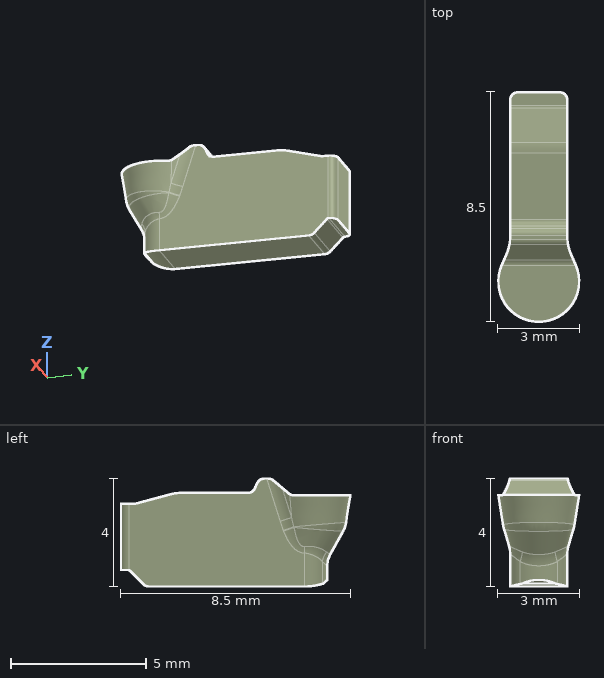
import cadquery as cq
import math


edge_radius = 1.5
total_length = 8.5
total_height = 4.0
edge_height = 3.38
shank_width = 2.125
tip_y = -edge_radius
rear_y = tip_y + total_length

top_allowance = 0.3
blank_top = total_height + top_allowance
front_overrun = 0.1
profile_width = 4 * edge_radius
selection_margin = 0.01

rear_corner_radius = 0.3
nose_y = -0.636
nose_start_y = 0.2
nose_corner_angle = math.radians(60)
nose_corner_radius = 0.75

rear_height = 3.07
shank_height = 3.475
ramp_angle = math.radians(15)
ramp_top_y = 4.95
ramp_top_radius = 1.5
ramp_foot_radius = 0.4
breaker_rear_angle = math.radians(65)
breaker_crest_rear_y = 1.88
breaker_front_angle = math.radians(40)
breaker_foot_y = 0.705
breaker_radius = 0.3
breaker_rear_foot_radius = 0.25

heel_height = 0.608
heel_y = 6.69
heel_angle = math.radians(45)
heel_top_radius = 0.1
heel_foot_radius = 0.3
toe_rise_radius = 2.2
toe_chamfer = 0.14

flank_angle = math.radians(30)
upper_taper = math.radians(9)
lower_taper = 0.3
lower_shift = 0.26
flank_end_y = 1.6
section_end_y = 2.0
waist_z = 2.2
head_bottom_z = 0.8
waist_blend_radius = 1.0
junction_blend_radius = 0.85


def shank_plan():
    half = shank_width / 2
    corner_x = half - nose_corner_radius
    end_x = corner_x + nose_corner_radius * math.cos(nose_corner_angle)
    end_y = nose_start_y - nose_corner_radius * math.sin(nose_corner_angle)
    mid_x = corner_x + nose_corner_radius * math.cos(nose_corner_angle / 2)
    mid_y = nose_start_y - nose_corner_radius * math.sin(nose_corner_angle / 2)
    return (
        cq.Workplane("XY")
        .moveTo(half, rear_y)
        .lineTo(half, nose_start_y)
        .threePointArc((mid_x, mid_y), (end_x, end_y))
        .threePointArc((0, nose_y), (-end_x, end_y))
        .threePointArc((-mid_x, mid_y), (-half, nose_start_y))
        .lineTo(-half, rear_y)
        .close()
    )


def make_shank():
    shank = shank_plan().extrude(blank_top)
    return shank.edges("|Z and >Y").fillet(rear_corner_radius)


def head_section(z, radius, center_y):
    """Circular front with two straight flanks tangent to it, converging to the rear."""
    tangent_x = radius * math.cos(flank_angle)
    tangent_y = center_y + radius * math.sin(flank_angle)
    end_x = tangent_x - (section_end_y - tangent_y) * math.tan(flank_angle)
    return (
        cq.Workplane("XY", origin=(0, 0, z))
        .moveTo(tangent_x, tangent_y)
        .threePointArc((0, center_y - radius), (-tangent_x, tangent_y))
        .lineTo(-end_x, section_end_y)
        .lineTo(end_x, section_end_y)
        .close()
    )


def make_head():
    """A tapered upper part on an oblique lower part, blended at the waist between them."""
    top_radius = edge_radius + math.tan(upper_taper) * (blank_top - edge_height)
    waist_radius = edge_radius - math.tan(upper_taper) * (edge_height - waist_z)
    depth = waist_z - head_bottom_z
    bottom_radius = waist_radius - lower_taper * depth
    upper = head_section(blank_top, top_radius, 0).extrude(
        waist_z - blank_top, taper=math.degrees(upper_taper)
    )
    waist = head_section(waist_z, waist_radius, 0).val()
    bottom = head_section(head_bottom_z, bottom_radius, lower_shift * depth).val()
    lower = cq.Solid.makeLoft([bottom, waist], True)
    front_space = (
        cq.Workplane("XY", origin=(0, flank_end_y - total_length, 0))
        .box(profile_width, total_length, blank_top, centered=(True, False, False))
    )
    head = upper.union(cq.Workplane(lower), clean=False).intersect(front_space)
    waist_edges = cq.selectors.BoxSelector(
        (-edge_radius, tip_y, waist_z - selection_margin),
        (edge_radius, flank_end_y - selection_margin, waist_z + selection_margin),
    )
    return head.edges(waist_edges).fillet(waist_blend_radius)


def make_blank():
    """Head and shank joined and blended, before the side profile is cut."""
    blank = make_head().union(make_shank(), clean=False)
    half = shank_width / 2 + selection_margin
    inside_shank_width = cq.selectors.BoxSelector(
        (-half, tip_y, 0), (half, rear_y, blank_top + selection_margin), boundingbox=True
    )
    return blank.edges("%BSPLINE").edges(inside_shank_width).fillet(junction_blend_radius)


def upper_corners():
    """Corners of the upper side as (y, z, rounding radius), from rear to front."""
    ramp_foot_y = ramp_top_y + (shank_height - rear_height) / math.tan(ramp_angle)
    breaker_rear_run = (total_height - shank_height) / math.tan(breaker_rear_angle)
    breaker_front_run = (total_height - edge_height) / math.tan(breaker_front_angle)
    return [
        (ramp_foot_y, rear_height, ramp_foot_radius),
        (ramp_top_y, shank_height, ramp_top_radius),
        (breaker_crest_rear_y + breaker_rear_run, shank_height, breaker_rear_foot_radius),
        (breaker_crest_rear_y, total_height, breaker_radius),
        (breaker_foot_y + breaker_front_run, total_height, breaker_radius),
        (breaker_foot_y, edge_height, breaker_radius),
    ]


def heel_corners():
    """Corners of the bevelled heel as (y, z, rounding radius)."""
    heel_run = heel_height / math.tan(heel_angle)
    return [
        (heel_y - heel_run, 0, heel_foot_radius),
        (heel_y, heel_height, heel_top_radius),
    ]


def round_corners(profile, corners):
    for y, z, radius in corners:
        corner = cq.selectors.BoxSelector(
            (-profile_width, y - selection_margin, z - selection_margin),
            (profile_width, y + selection_margin, z + selection_margin),
        )
        profile = profile.edges("|X").edges(corner).fillet(radius)
    return profile


def toe_arc_point(y):
    drop = nose_start_y - y
    return (y, toe_rise_radius - math.sqrt(toe_rise_radius**2 - drop**2))


def make_profile():
    """Side outline of the whole part, extruded across a width greater than the head."""
    toe_y = nose_y + toe_chamfer
    toe_end = toe_arc_point(toe_y)
    front_y = tip_y - front_overrun
    chamfer_rise = toe_y - front_y
    corners = upper_corners() + heel_corners()
    profile = (
        cq.Workplane("YZ")
        .moveTo(rear_y, heel_height)
        .lineTo(rear_y, rear_height)
    )
    for y, z, _ in upper_corners():
        profile = profile.lineTo(y, z)
    profile = (
        profile
        .lineTo(front_y, edge_height)
        .lineTo(front_y, toe_end[1] + chamfer_rise)
        .lineTo(*toe_end)
        .threePointArc(toe_arc_point((toe_y + nose_start_y) / 2), (nose_start_y, 0))
    )
    for y, z, _ in heel_corners():
        profile = profile.lineTo(y, z)
    profile = profile.close().extrude(profile_width / 2, both=True)
    return round_corners(profile, corners)


result = make_blank().intersect(make_profile())